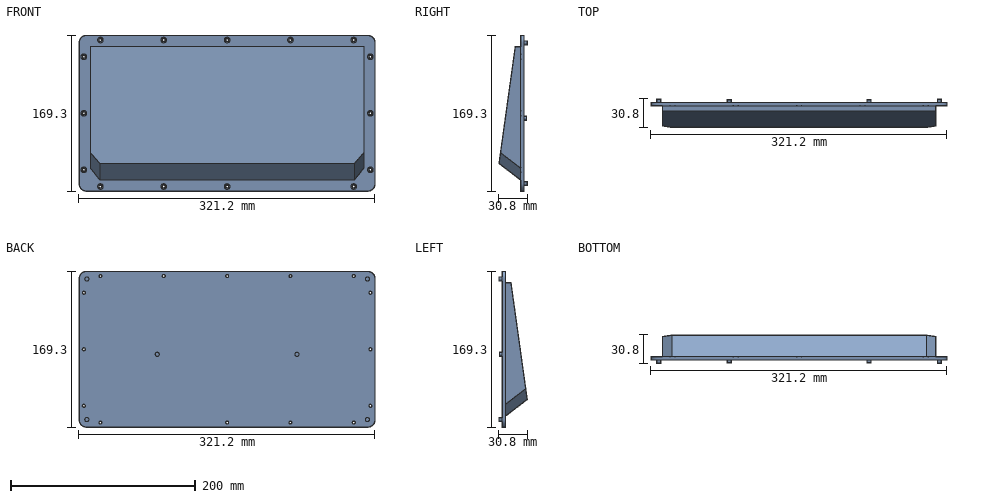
import cadquery as cq

length = 321.2
height = 169.3
depth = 30.8
plate_thickness = 4.0
corner_radius = 8.0

hood_margin = 12.2
hood_top_depth = 5.8
hood_lip_height = 30.2
hood_corner_chamfer = 10.3

hole_diameter = 3.0
countersink_diameter = 6.0
countersink_angle = 90
hole_edge_distance = 5.0
hole_pitch_x = 68.7
hole_pitch_z = 61.5

pin_diameter = 4.5
corner_pin_inset = 8.5
corner_pin_length = 3.5
middle_pin_length = 3.0
middle_pin_x = 75.8
middle_pin_z = -5.5

plate_front = -plate_thickness
hood_front = corner_pin_length - depth

half_length = length / 2
half_height = height / 2


def make_plate():
    plate = cq.Workplane("XY").box(length, plate_thickness, height)
    plate = plate.translate((0, plate_front / 2, 0))
    return plate.edges("|Y").fillet(corner_radius)


def make_hood():
    """Wedge with a sloping front, an undercut bottom and two cut-off lower corners."""
    top = half_height - hood_margin
    profile = [
        (plate_front, top),
        (plate_front - hood_top_depth, top),
        (hood_front, hood_lip_height - half_height),
        (plate_front, -top),
    ]
    hood_half_length = half_length - hood_margin
    hood = cq.Workplane("YZ").polyline(profile).close().extrude(hood_half_length, both=True)
    lower_side_edges = hood.faces("<Z").edges("not |X")
    return lower_side_edges.chamfer(hood_corner_chamfer)


def hole_positions():
    """Screw hole centres (X, Z); the bottom row leaves out the one right of centre."""
    row_z = half_height - hole_edge_distance
    column_x = half_length - hole_edge_distance
    top_row = [(step * hole_pitch_x, row_z) for step in (-2, -1, 0, 1, 2)]
    bottom_row = [(step * hole_pitch_x, -row_z) for step in (-2, -1, 0, 2)]
    columns = [(side * column_x, step * hole_pitch_z) for side in (-1, 1) for step in (-1, 0, 1)]
    return top_row + bottom_row + columns


def make_pins(positions, pin_length):
    back_plane = cq.Workplane("XZ")
    return back_plane.pushPoints(positions).circle(pin_diameter / 2).extrude(-pin_length)


def drill_holes(body):
    front_plane = cq.Workplane("XZ", origin=(0, plate_front, 0))
    holes = body.copyWorkplane(front_plane).pushPoints(hole_positions())
    return holes.cskHole(hole_diameter, countersink_diameter, countersink_angle, depth=plate_thickness)


corner_pin_x = half_length - corner_pin_inset
corner_pin_z = half_height - corner_pin_inset
corner_pins = [(side * corner_pin_x, end * corner_pin_z) for side in (-1, 1) for end in (-1, 1)]
middle_pins = [(side * middle_pin_x, middle_pin_z) for side in (-1, 1)]

result = drill_holes(make_plate().union(make_hood()))
result = result.union(make_pins(corner_pins, corner_pin_length))
result = result.union(make_pins(middle_pins, middle_pin_length))